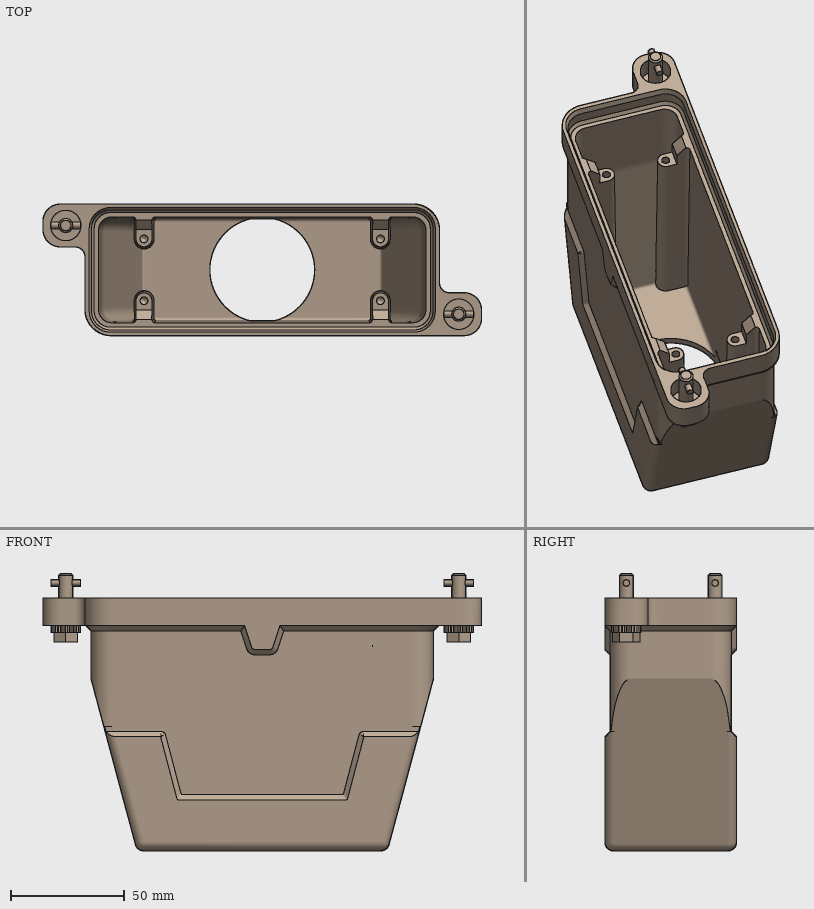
import cadquery as cq
import math

HOUSING_DEPTH = 111.25
FLANGE_THICKNESS = 12.2
FLANGE_HALF_X = 78.0
FLANGE_HALF_Y = 29.0
FLANGE_CORNER_R = 11.5
TOTAL_LENGTH = 193.0

EAR_WIDTH = 19.0
EAR_CORNER_R = 7.8
EAR_BLEND_R = 4.2
EAR_HOLE_DIA = 13.4
EAR_FLOOR = 3.0

BODY_HALF_X = 75.3
BODY_HALF_Y = 26.7
BODY_CORNER_R = 9.0
SLOPE_START_Z = -35.6
SLOPE = math.tan(math.radians(15))
SKIRT_FILLET = 4.0

STEP_BASE_Z = -58.7
WINDOW_FLOOR_Z = -86.5
WINDOW_TOP_HALF_X = 42.9
WINDOW_FLOOR_HALF_X = 35.6
WINDOW_CORNER_R = 1.5

LUG_TOP_HALF_X = 10.2
LUG_SIDE_SLOPE = 0.33
LUG_TIP_Z = -25.0
LUG_CORNER_R = 4.0

WALL = 3.4
DRAFT = math.radians(0.6)
LEDGE_WIDTH = 1.9
LEDGE_Z = -9.0
RECESS_CORNER_R = 7.2
RECESS_LIP_CHAMFER = (1.0, 2.3)
RECESS_FOOT_CHAMFER = (1.2, 1.5)
CAVITY_HALF_X = 72.0
CAVITY_HALF_Y = 23.3
CAVITY_CORNER_R = 6.0
CAVITY_BEND_Z = -42.0
CAVITY_BEND_R = 18.0
CAVITY_FLOOR_R = 1.3
CABLE_HOLE_DIA = 46.0

POST_X = 52.0
POST_Y = 13.6
POST_HALF_WIDTH = 3.4
POST_SHELF_Z = -19.2
POST_FLAT = 1.4
POST_RAMP = 4.2
POST_BLEND_R = 2.0
POST_ROOT_DEPTH = 0.1
POST_HOLE_DIA = 3.4
POST_HOLE_DEPTH = 12.0
DRILL_POINT_ANGLE = 118.0

BOLT_DIA = 6.2
BOLT_TOP_Z = 10.7
BOLT_CHAMFER = 0.8
CROSS_PIN_DIA = 2.9
CROSS_PIN_LENGTH = 13.0
CROSS_PIN_Z = 6.6
WASHER_DIA = 13.0
WASHER_THICKNESS = 3.0
WASHER_TEETH = 24
WASHER_TOOTH_DEPTH = 0.6
HEX_ACROSS_FLATS = 10.4
HEX_HEIGHT = 4.2

SKIRT_HALF_Y = FLANGE_HALF_Y
STEP = SKIRT_HALF_Y - BODY_HALF_Y
EAR_END_X = TOTAL_LENGTH / 2
EAR_CENTER_X = 86.4
EAR_CENTER_Y = FLANGE_HALF_Y - EAR_WIDTH / 2
FLOOR_Z = -HOUSING_DEPTH + WALL
OVERLAP = 1.0


def outer_half_x(z):
    """Half length of the sloped body at height z."""
    return BODY_HALF_X - SLOPE * (SLOPE_START_Z - z)


def mirrored(points):
    """Close a right-hand run of (x, z) points with its mirror image."""
    return points + [(-x, z) for x, z in reversed(points)]


def prism_xz(points, half_y):
    return cq.Workplane("XZ").polyline(points).close().extrude(half_y, both=True)


def rounded_block(half_x, half_y, radius, top_z, bottom_z):
    block = cq.Workplane("XY").workplane(offset=bottom_z).rect(2 * half_x, 2 * half_y)
    return block.extrude(top_z - bottom_z).edges("|Z").fillet(radius)


def make_flange():
    flange = rounded_block(FLANGE_HALF_X, FLANGE_HALF_Y, FLANGE_CORNER_R, 0, -FLANGE_THICKNESS)
    ear_inner_x = FLANGE_HALF_X - FLANGE_CORNER_R - OVERLAP
    ear_length = EAR_END_X - ear_inner_x
    for side in (1, -1):
        ear = (
            cq.Workplane("XY")
            .center(side * (EAR_END_X + ear_inner_x) / 2, -side * EAR_CENTER_Y)
            .rect(ear_length, EAR_WIDTH)
            .extrude(-FLANGE_THICKNESS)
            .edges("|Z and " + (">X" if side > 0 else "<X"))
            .fillet(EAR_CORNER_R)
        )
        flange = flange.union(ear)
    for side in (1, -1):
        corner = (side * FLANGE_HALF_X, -side * (FLANGE_HALF_Y - EAR_WIDTH), -FLANGE_THICKNESS / 2)
        flange = flange.edges(cq.selectors.NearestToPointSelector(corner)).fillet(EAR_BLEND_R)
    collar = (
        cq.Workplane("XY")
        .workplane(offset=-FLANGE_THICKNESS)
        .sketch()
        .rect(2 * (BODY_HALF_X + STEP), 2 * (BODY_HALF_Y + STEP))
        .vertices()
        .fillet(FLANGE_CORNER_R)
        .finalize()
        .extrude(-STEP, taper=45)
    )
    return flange.union(collar)


def make_upper_body():
    body = rounded_block(BODY_HALF_X, BODY_HALF_Y, BODY_CORNER_R,
                         -FLANGE_THICKNESS + OVERLAP, STEP_BASE_Z)
    envelope = mirrored([
        (BODY_HALF_X + OVERLAP, 0),
        (BODY_HALF_X + OVERLAP, SLOPE_START_Z),
        (BODY_HALF_X, SLOPE_START_Z),
        (outer_half_x(-HOUSING_DEPTH), -HOUSING_DEPTH),
    ])
    return body.intersect(prism_xz(envelope, SKIRT_HALF_Y))


def make_skirt():
    """Thick lower shell, stepped down around a central window on both long sides."""
    skirt_top = STEP_BASE_Z + STEP
    skirt = prism_xz(mirrored([
        (outer_half_x(skirt_top), skirt_top),
        (outer_half_x(-HOUSING_DEPTH), -HOUSING_DEPTH),
    ]), SKIRT_HALF_Y)
    skirt = skirt.faces("<Z or >X or <X").edges("not >Z").fillet(SKIRT_FILLET)

    wall_angle = math.atan2(WINDOW_TOP_HALF_X - WINDOW_FLOOR_HALF_X, STEP_BASE_Z - WINDOW_FLOOR_Z)
    top_shift = STEP * (1 - math.sin(wall_angle)) / math.cos(wall_angle)
    far_x = BODY_HALF_X + 2 * STEP
    outline = mirrored([
        (far_x, -FLANGE_THICKNESS),
        (far_x, STEP_BASE_Z - STEP),
        (WINDOW_TOP_HALF_X + top_shift, STEP_BASE_Z - STEP),
        (WINDOW_FLOOR_HALF_X + top_shift, WINDOW_FLOOR_Z - STEP),
    ])
    for side in (1, -1):
        plane = cq.Plane(origin=(0, side * SKIRT_HALF_Y, 0), xDir=(-side, 0, 0), normal=(0, side, 0))
        window = cq.Workplane(plane).polyline(outline).close().extrude(-STEP, taper=45)
        corners = window.edges(cq.selectors.BoxSelector(
            (-far_x + 2 * STEP, -2 * SKIRT_HALF_Y, STEP_BASE_Z + OVERLAP),
            (far_x - 2 * STEP, 2 * SKIRT_HALF_Y, WINDOW_FLOOR_Z - 2 * STEP)))
        slanted = corners.filter(lambda edge: edge.BoundingBox().ylen > STEP / 2)
        skirt = skirt.cut(slanted.fillet(WINDOW_CORNER_R))
    return skirt


def make_lugs():
    """Tapered tongue hanging below the flange on each long side."""
    top_z = -FLANGE_THICKNESS + 2 * STEP
    half_at_tip = LUG_TOP_HALF_X - LUG_SIDE_SLOPE * (-FLANGE_THICKNESS - LUG_TIP_Z)
    half_at_top = half_at_tip + LUG_SIDE_SLOPE * (top_z - LUG_TIP_Z)
    outline = mirrored([(half_at_top, top_z), (half_at_tip, LUG_TIP_Z)])
    lugs = cq.Workplane("XY")
    for side in (1, -1):
        plane = cq.Plane(origin=(0, side * BODY_HALF_Y, 0), xDir=(-side, 0, 0), normal=(0, side, 0))
        tongue = cq.Workplane(plane).sketch().polygon(outline + outline[:1])
        tongue = tongue.vertices("<Y").fillet(LUG_CORNER_R).finalize().extrude(STEP, taper=45)
        lugs = lugs.add(tongue)
    return lugs


def make_recess():
    """Seal recess in the flange, chamfered at its lip and foot."""
    lip_in, lip_down = RECESS_LIP_CHAMFER
    foot_in, foot_up = RECESS_FOOT_CHAMFER
    half_x = CAVITY_HALF_X + LEDGE_WIDTH
    half_y = CAVITY_HALF_Y + LEDGE_WIDTH

    def ring(growth, z):
        section = cq.Sketch().rect(2 * (half_x + growth), 2 * (half_y + growth))
        return section.vertices().fillet(RECESS_CORNER_R + growth).moved(cq.Location((0, 0, z)))

    def frustum(low, high):
        return cq.Workplane("XY").placeSketch(ring(*low), ring(*high)).loft()

    foot = (0, LEDGE_Z)
    wall_low = (foot_in, LEDGE_Z + foot_up)
    wall_high = (foot_in, -lip_down)
    lip = (foot_in + lip_in, 0)
    return frustum(foot, wall_low).union(frustum(wall_low, wall_high)).union(frustum(wall_high, lip))


def make_cavity():
    bend_x = outer_half_x(CAVITY_BEND_Z) - WALL
    floor_x = outer_half_x(FLOOR_Z) - WALL
    long_profile = mirrored([(CAVITY_HALF_X, LEDGE_Z), (bend_x, CAVITY_BEND_Z), (floor_x, FLOOR_Z)])
    floor_y = CAVITY_HALF_Y - (LEDGE_Z - FLOOR_Z) * math.tan(DRAFT)
    cross_profile = mirrored([(CAVITY_HALF_Y, LEDGE_Z), (floor_y, FLOOR_Z)])
    cross = cq.Workplane("YZ").polyline(cross_profile).close().extrude(BODY_HALF_X, both=True)
    cavity = prism_xz(long_profile, BODY_HALF_Y).edges("|Y").edges("not (<Z or >Z)")
    cavity = cavity.fillet(CAVITY_BEND_R).intersect(cross)
    cavity = cavity.edges("(not #Z) and (not |Y)").fillet(CAVITY_CORNER_R)
    return cavity.faces("<Z").edges().fillet(CAVITY_FLOOR_R)


def make_post(side_x, side_y):
    """Screw post growing from a long wall: rounded front, ramp, shelf and blind hole."""
    back_y = CAVITY_HALF_Y + 2 * WALL
    flare_x = POST_HALF_WIDTH + POST_BLEND_R
    root_y = CAVITY_HALF_Y + POST_ROOT_DEPTH
    flare_y = root_y - POST_BLEND_R
    post = (
        cq.Workplane("XY")
        .workplane(offset=LEDGE_Z)
        .moveTo(-flare_x, back_y)
        .lineTo(-flare_x, root_y)
        .radiusArc((-POST_HALF_WIDTH, flare_y), POST_BLEND_R)
        .lineTo(-POST_HALF_WIDTH, POST_Y)
        .threePointArc((0, POST_Y - POST_HALF_WIDTH), (POST_HALF_WIDTH, POST_Y))
        .lineTo(POST_HALF_WIDTH, flare_y)
        .radiusArc((flare_x, root_y), POST_BLEND_R)
        .lineTo(flare_x, back_y)
        .close()
        .extrude(FLOOR_Z - LEDGE_Z - OVERLAP, taper=-math.degrees(DRAFT))
    )
    ramp_top_y = CAVITY_HALF_Y - POST_FLAT
    ramp_foot_y = ramp_top_y - POST_RAMP
    notch = (
        cq.Workplane("YZ")
        .polyline([
            (ramp_top_y, LEDGE_Z),
            (ramp_foot_y, LEDGE_Z - POST_RAMP),
            (ramp_foot_y, POST_SHELF_Z),
            (0, POST_SHELF_Z),
            (0, LEDGE_Z),
        ])
        .close()
        .extrude(2 * POST_HALF_WIDTH, both=True)
    )
    radius = POST_HOLE_DIA / 2
    point_depth = radius / math.tan(math.radians(DRILL_POINT_ANGLE / 2))
    hole = (
        cq.Workplane("XZ", origin=(0, POST_Y, POST_SHELF_Z))
        .polyline([
            (0, 0),
            (radius, 0),
            (radius, -POST_HOLE_DEPTH),
            (0, -POST_HOLE_DEPTH - point_depth),
        ])
        .close()
        .revolve(360, (0, 0, 0), (0, 1, 0))
    )
    post = post.cut(notch).cut(hole)
    if side_y < 0:
        post = post.mirror("XZ")
    return post.translate((side_x * POST_X, 0, 0))


def make_interior():
    """Empty space inside the housing, with the four posts left standing."""
    interior = make_cavity()
    for side_x in (1, -1):
        for side_y in (1, -1):
            interior = interior.cut(make_post(side_x, side_y))
    return interior


def make_bolt():
    """Captive bolt with cross pin above the ear, serrated washer and hex head below."""
    head_z = -FLANGE_THICKNESS - WASHER_THICKNESS
    shank = cq.Workplane("XY").workplane(offset=head_z).circle(BOLT_DIA / 2)
    shank = shank.extrude(BOLT_TOP_Z - head_z).faces(">Z").chamfer(BOLT_CHAMFER)
    pin = cq.Workplane("YZ").center(0, CROSS_PIN_Z).circle(CROSS_PIN_DIA / 2)
    pin = pin.extrude(CROSS_PIN_LENGTH / 2, both=True)
    outline = []
    for index in range(2 * WASHER_TEETH):
        radius = WASHER_DIA / 2 - WASHER_TOOTH_DEPTH * (index % 2)
        angle = math.pi * index / WASHER_TEETH
        outline.append((radius * math.cos(angle), radius * math.sin(angle)))
    washer = cq.Workplane("XY").workplane(offset=head_z).polyline(outline).close().extrude(WASHER_THICKNESS)
    head = cq.Workplane("XY").workplane(offset=head_z)
    head = head.polygon(6, HEX_ACROSS_FLATS, circumscribed=True).extrude(-HEX_HEIGHT)
    return shank.union(pin).union(washer).union(head)


def make_housing():
    housing = make_flange().union(make_upper_body()).union(make_skirt())
    for lug in make_lugs().vals():
        housing = housing.union(cq.Workplane(lug))
    housing = housing.cut(make_recess()).cut(make_interior())
    cable_hole = cq.Workplane("XY").workplane(offset=-HOUSING_DEPTH).circle(CABLE_HOLE_DIA / 2)
    return housing.cut(cable_hole.extrude(WALL + CAVITY_CORNER_R))


def add_bolts(housing):
    pocket_depth = FLANGE_THICKNESS - EAR_FLOOR
    for side in (1, -1):
        place = (side * EAR_CENTER_X, -side * EAR_CENTER_Y, 0)
        pocket = cq.Workplane("XY").circle(EAR_HOLE_DIA / 2).extrude(-pocket_depth)
        housing = housing.cut(pocket.translate(place))
        housing = housing.union(make_bolt().translate(place))
    return housing


result = add_bolts(make_housing())